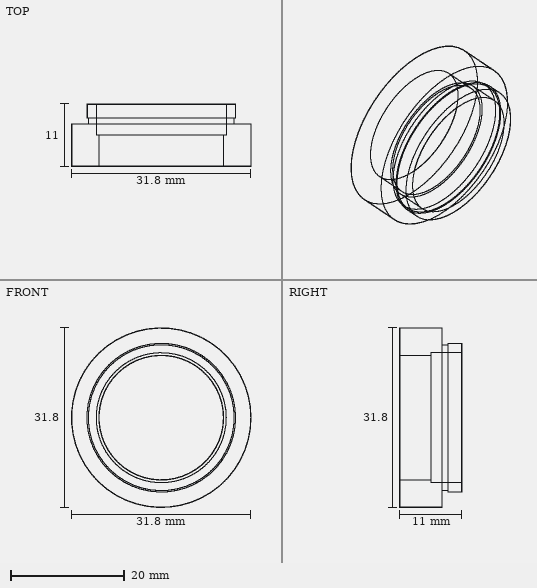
import cadquery as cq

flange_diameter = 31.75
front_bore_diameter = 21.97
front_bore_length = 5.52
rear_bore_diameter = 23.0
total_length = 11.0

flange_length = 7.5
lip_length = 2.48
lip_diameter = 26.3
groove_diameter = 25.78

rear_y = total_length / 2
front_y = -rear_y
groove_start_y = front_y + flange_length
lip_start_y = rear_y - lip_length
bore_step_y = front_y + front_bore_length


def disc(diameter, start_y, end_y):
    """Solid cylinder about the Y axis between two Y positions."""
    plane = cq.Plane(origin=(0, start_y, 0), xDir=(1, 0, 0), normal=(0, 1, 0))
    return cq.Workplane(plane).circle(diameter / 2).extrude(end_y - start_y)


flange = disc(flange_diameter, front_y, groove_start_y)
groove_floor = disc(groove_diameter, groove_start_y, lip_start_y)
lip = disc(lip_diameter, lip_start_y, rear_y)
front_bore = disc(front_bore_diameter, front_y, bore_step_y)
rear_bore = disc(rear_bore_diameter, bore_step_y, rear_y)

result = flange.union(groove_floor).union(lip).cut(front_bore).cut(rear_bore)